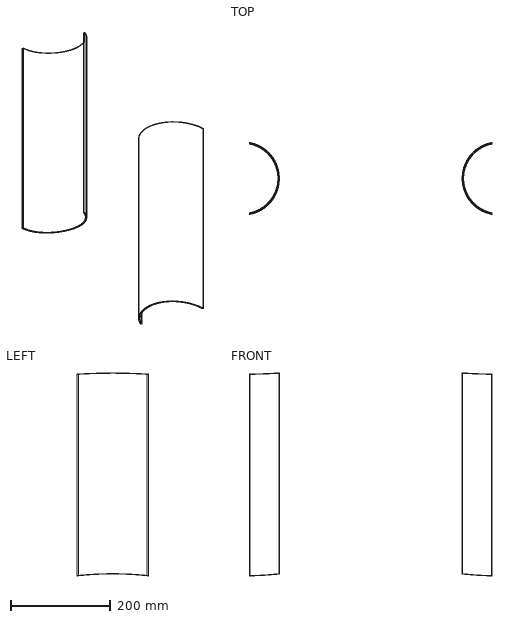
import cadquery as cq
import math

overall_length = 489.0
overall_height = 409.5
shell_radius = 74.0
wall = 3.0
shell_axis_x = 258.0
bottom_arch_radius = 670.0

open_edge_x = overall_length / 2
half_chord = math.sqrt(shell_radius**2 - (shell_axis_x - open_edge_x)**2)
lower_corner_z = math.sqrt(bottom_arch_radius**2 - half_chord**2)
top_arch_radius = lower_corner_z + overall_height


def make_arch_zone():
    """Space between two concentric cylinders about X, bounding the shell ends."""
    return (
        cq.Workplane("YZ")
        .circle(top_arch_radius)
        .circle(bottom_arch_radius)
        .extrude(open_edge_x, both=True)
    )


def make_shell(side):
    """Upright part-cylinder shell on the given X side, with its convex face inward."""
    tube = (
        cq.Workplane("XY")
        .center(side * shell_axis_x, 0)
        .circle(shell_radius)
        .circle(shell_radius - wall)
        .extrude(top_arch_radius)
    )
    return tube.intersect(make_arch_zone()).solids()


shells = [make_shell(side) for side in (-1, 1)]

result = cq.Compound.makeCompound([shell.val() for shell in shells])